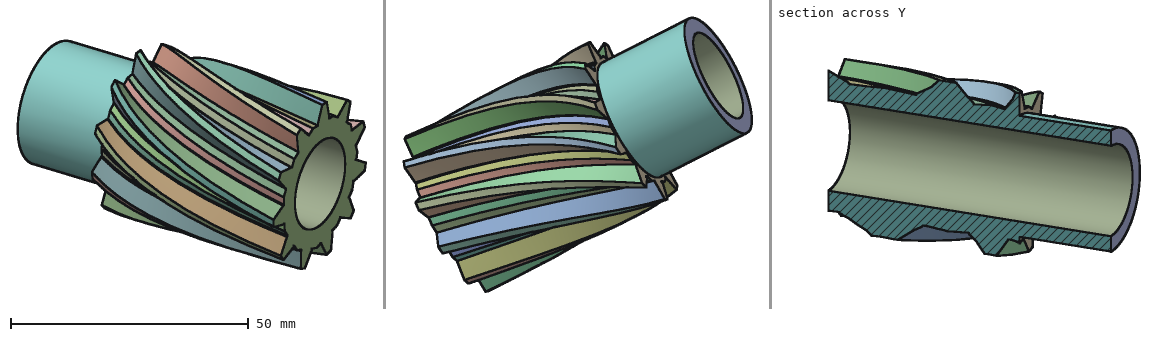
import math

import cadquery as cq

collar_length = 21.5
gear_length = 45.0

collar_radius = 13.5
bore_radius = 10.0

tooth_count = 11
tip_corner_radius = 18.53
tip_half_width = 0.9
tip_height = math.sqrt(tip_corner_radius**2 - tip_half_width**2)

root_height = 14.25
root_half_width = 2.3
flank_base_height = 14.55
ridge_radius = 14.85

twist_angle = math.radians(60.0)
lead_growth = 3.1
guide_radius = 1.0
guide_steps = 12


def turned(across, height, angle):
    """Point at a height and sideways offset, turned from +Z towards +Y."""
    y = across * math.cos(angle) + height * math.sin(angle)
    z = height * math.cos(angle) - across * math.sin(angle)
    return y, z


def gear_outline():
    """Closed outline: each tapered tooth on its foot followed by the ridge of the next gap."""
    tooth = [
        (-root_half_width, root_height),
        (-root_half_width, flank_base_height),
        (-tip_half_width, tip_height),
        (tip_half_width, tip_height),
        (root_half_width, flank_base_height),
        (root_half_width, root_height),
    ]
    pitch_angle = 2 * math.pi / tooth_count
    points = []
    for index in range(tooth_count):
        tooth_angle = index * pitch_angle
        points += [turned(across, height, tooth_angle) for across, height in tooth]
        points.append(turned(0, ridge_radius, tooth_angle + pitch_angle / 2))
    return points


def make_collar():
    return cq.Workplane("YZ").circle(collar_radius).extrude(collar_length)


def twist_guide():
    """Helix about the X axis whose lead grows linearly, so its angle follows a logarithm."""
    points = []
    for step in range(guide_steps + 1):
        fraction = step / guide_steps
        angle = twist_angle * math.log(1 + lead_growth * fraction) / math.log(1 + lead_growth)
        x = collar_length + gear_length * fraction
        points.append((x, guide_radius * math.cos(angle), guide_radius * math.sin(angle)))
    return cq.Workplane("XY").spline(points)


def make_gear():
    axis = cq.Workplane("XY").moveTo(collar_length, 0).lineTo(collar_length + gear_length, 0)
    section = cq.Workplane("YZ").workplane(offset=collar_length).polyline(gear_outline()).close()
    return section.sweep(axis, auxSpine=twist_guide())


def make_bore():
    return cq.Workplane("YZ").circle(bore_radius).extrude(collar_length + gear_length)


result = make_collar().union(make_gear()).cut(make_bore())